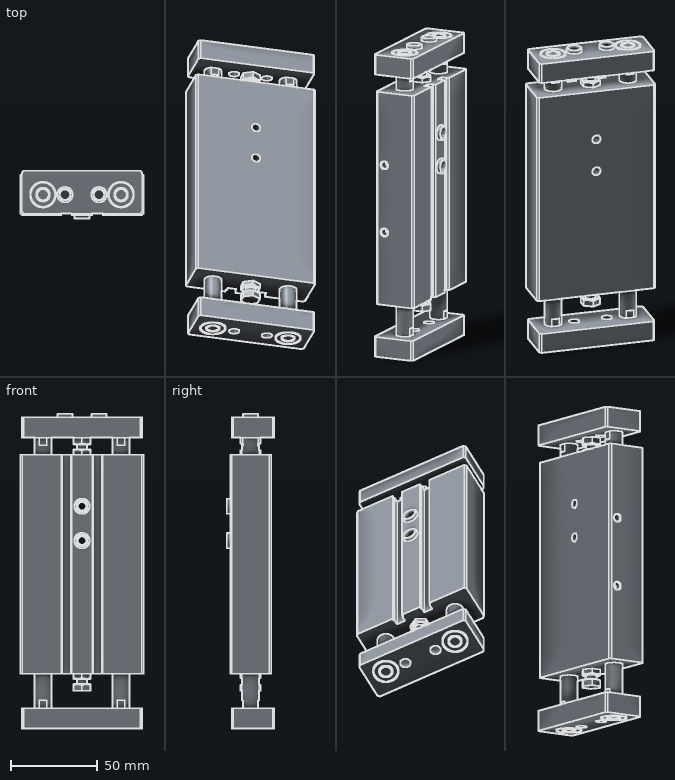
import cadquery as cq
import math

total_height = 183.0
plate_thickness = 11.9
lower_gap = 20.0
upper_gap = 9.9
sleeve_projection = 2.0

upper_plate_top = total_height - sleeve_projection
upper_plate_bottom = upper_plate_top - plate_thickness
housing_bottom = plate_thickness + lower_gap
housing_top = upper_plate_bottom - upper_gap
housing_height = housing_top - housing_bottom

housing_width = 72.0
housing_depth = 24.0
housing_back = 12.0
housing_front = housing_back - housing_depth
corner_chamfer = 1.1

slot_offset = 9.0
slot_mouth_width = 6.0
slot_mouth_depth = 1.6
slot_inner_width = 5.1
slot_depth = 4.5

plate_width = 69.9
plate_depth = 24.9
plate_back = 13.9

rod_offset = 22.7
rod_diameter = 10.0
rod_flat_width = 9.0
rod_flat_length = 4.5
piston_diameter = 20.0
piston_length = 20.0
nut_recess_diameter = 15.0
ring_nut_diameter = 14.0
nut_groove_depth = 0.7
rod_end_diameter = 8.0
rod_end_chamfer = 0.7

sleeve_diameter = 9.0
sleeve_bore = 6.8
sleeve_embedded = sleeve_projection
sleeve_length = sleeve_projection + sleeve_embedded
plate_hole_diameter = 6.0
housing_hole_diameter = 5.0
plate_sleeve_offset = 9.9
housing_sleeve_heights = (109.3, 129.2)

port_y = 6.8
lower_port_height = 75.4
upper_port_height = 115.7
port_mouth_diameter = 5.0
port_diameter = 4.2
port_depth = 6.2
port_tip_angle = 120.0

hex_width = 10.0
hex_chamfer_diameter = 9.2
bolt_diameter = 6.0
bolt_head_height = 4.0
lock_nut_height = 3.1
bolt_embedded = 11.0


def cylinder(diameter, bottom, height, x=0.0, y=0.0):
    """Upright cylinder standing on the given height."""
    return cq.Workplane("XY", origin=(x, y, bottom)).circle(diameter / 2).extrude(height)


def upright_block(width, depth, back, bottom, height):
    """Block centred on X, with chamfered vertical edges."""
    block = cq.Workplane("XY", origin=(0, back - depth / 2, bottom)).rect(width, depth).extrude(height)
    return block.edges("|Z").chamfer(corner_chamfer)


def mirrored_in_z(shape, height):
    return shape.mirror("XY", (0, 0, height))


def make_sleeve():
    """Sleeve along +Z from the origin, with a fully rounded rim at its outer end."""
    outer_radius = sleeve_diameter / 2
    bore_radius = sleeve_bore / 2
    rim_radius = (outer_radius - bore_radius) / 2
    return (
        cq.Workplane("XZ")
        .moveTo(bore_radius, 0)
        .lineTo(outer_radius, 0)
        .lineTo(outer_radius, sleeve_length - rim_radius)
        .threePointArc((bore_radius + rim_radius, sleeve_length), (bore_radius, sleeve_length - rim_radius))
        .close()
        .revolve(360, (0, 0, 0), (0, 1, 0))
    )


def plate_sleeve(x):
    return make_sleeve().translate((x, 0, upper_plate_top - sleeve_embedded))


def housing_sleeve(height):
    facing_front = make_sleeve().rotate((0, 0, 0), (1, 0, 0), 90)
    return facing_front.translate((0, housing_front + sleeve_embedded, height))


def nut_grooves(x):
    """Gap round a recessed ring nut and V-groove round the rod end, in the upper plate."""
    ring = (
        cq.Workplane("XY", origin=(x, 0, upper_plate_top - nut_groove_depth))
        .circle(nut_recess_diameter / 2)
        .circle(ring_nut_diameter / 2)
        .extrude(nut_groove_depth)
    )
    rod_end_radius = rod_end_diameter / 2
    v_groove = (
        cq.Workplane("XZ", origin=(x, 0, upper_plate_top))
        .moveTo(rod_end_radius, 0)
        .lineTo(rod_end_radius, -rod_end_chamfer)
        .lineTo(rod_end_radius - rod_end_chamfer, 0)
        .close()
        .revolve(360, (0, 0, 0), (0, 1, 0))
    )
    return ring.union(v_groove)


def make_rod(x):
    """Guide rod with spanner flats at both ends and a piston level with the lower port."""
    rod_length = upper_plate_bottom - plate_thickness
    rod = cylinder(rod_diameter, plate_thickness, rod_length, x)
    for flat_bottom in (plate_thickness, upper_plate_bottom - rod_flat_length):
        for side in (-1, 1):
            beyond_flat = cq.Workplane("XY", origin=(x, side * rod_flat_width, flat_bottom))
            rod = rod.cut(beyond_flat.rect(rod_diameter, rod_flat_width).extrude(rod_flat_length))
    return rod.union(make_piston(x))


def make_piston(x):
    return cylinder(piston_diameter, lower_port_height - piston_length / 2, piston_length, x)


def make_lower_plate():
    plate = upright_block(plate_width, plate_depth, plate_back, 0, plate_thickness)
    for x in (-plate_sleeve_offset, plate_sleeve_offset):
        plate = plate.cut(cylinder(plate_hole_diameter, 0, plate_thickness, x))
    for x in (-rod_offset, rod_offset):
        plate = plate.cut(mirrored_in_z(nut_grooves(x), upper_plate_top / 2))
    return plate


def make_upper_plate():
    plate = upright_block(plate_width, plate_depth, plate_back, upper_plate_bottom, plate_thickness)
    for x in (-plate_sleeve_offset, plate_sleeve_offset):
        plate = plate.cut(cylinder(sleeve_diameter, upper_plate_top - sleeve_embedded, sleeve_embedded, x))
        plate = plate.cut(cylinder(plate_hole_diameter, upper_plate_bottom, plate_thickness, x))
    for x in (-rod_offset, rod_offset):
        plate = plate.cut(nut_grooves(x))
    return plate


def make_moving_frame():
    frame = make_lower_plate().union(make_upper_plate())
    for x in (-rod_offset, rod_offset):
        frame = frame.union(make_rod(x))
    return frame


def sensor_slot(x):
    """Stepped slot along the full height of the front face, wider at its mouth."""
    front_line = cq.Workplane("XY", origin=(x, housing_front, housing_bottom))
    mouth = front_line.rect(slot_mouth_width, 2 * slot_mouth_depth).extrude(housing_height)
    inner = front_line.rect(slot_inner_width, 2 * slot_depth).extrude(housing_height)
    return mouth.union(inner)


def air_port(height):
    """Chamfered blind port with a conical bottom."""
    radius = port_diameter / 2
    mouth_radius = port_mouth_diameter / 2
    tip_length = radius / math.tan(math.radians(port_tip_angle / 2))
    return (
        cq.Workplane("XY", origin=(-housing_width / 2, port_y, height))
        .lineTo(0, mouth_radius)
        .lineTo(mouth_radius - radius, radius)
        .lineTo(port_depth, radius)
        .lineTo(port_depth + tip_length, 0)
        .close()
        .revolve(360, (0, 0, 0), (1, 0, 0))
    )


def make_housing():
    housing = upright_block(housing_width, housing_depth, housing_back, housing_bottom, housing_height)
    for x in (-slot_offset, slot_offset):
        housing = housing.cut(sensor_slot(x))
    for x in (-rod_offset, rod_offset):
        housing = housing.cut(cylinder(rod_diameter, housing_bottom, housing_height, x))
        housing = housing.cut(make_piston(x))
    for height in housing_sleeve_heights:
        seat = cq.Workplane("XZ", origin=(0, housing_front, height))
        housing = housing.cut(seat.circle(sleeve_diameter / 2).extrude(-sleeve_embedded))
        housing = housing.cut(seat.circle(housing_hole_diameter / 2).extrude(-housing_depth))
    for height in (lower_port_height, upper_port_height):
        housing = housing.cut(air_port(height))
    for bottom in (housing_bottom, housing_top - bolt_embedded):
        housing = housing.cut(cylinder(bolt_diameter, bottom, bolt_embedded))
    return housing


def hexagon(bottom, height, chamfered_face):
    """Hexagon with flats facing +X and -X and its corners turned down at one face."""
    corner_diameter = hex_width / math.cos(math.pi / 6)
    corner_cut = (corner_diameter - hex_chamfer_diameter) / 2
    drop = corner_cut * math.tan(math.pi / 6)
    prism = cq.Workplane("XY", origin=(0, 0, bottom)).polygon(6, corner_diameter).extrude(height)
    prism = prism.rotate((0, 0, 0), (0, 0, 1), 30)
    envelope = cylinder(corner_diameter, bottom, height).faces(chamfered_face).chamfer(drop, corner_cut)
    return prism.intersect(envelope)


def upper_stop_bolt():
    head_bottom = upper_plate_bottom - bolt_head_height
    shank_bottom = housing_top - bolt_embedded
    shank = cylinder(bolt_diameter, shank_bottom, head_bottom - shank_bottom)
    return hexagon(head_bottom, bolt_head_height, "<Z").union(shank)


def upper_lock_nut():
    nut = hexagon(housing_top, lock_nut_height, ">Z")
    return nut.cut(cylinder(bolt_diameter, housing_top, lock_nut_height))


housing_middle = (housing_bottom + housing_top) / 2
housing = make_housing()
moving_frame = make_moving_frame()
plate_sleeves = [plate_sleeve(x) for x in (-plate_sleeve_offset, plate_sleeve_offset)]
housing_sleeves = [housing_sleeve(height) for height in housing_sleeve_heights]
stop_bolts = [upper_stop_bolt(), mirrored_in_z(upper_stop_bolt(), housing_middle)]
lock_nuts = [upper_lock_nut(), mirrored_in_z(upper_lock_nut(), housing_middle)]

bodies = [housing, moving_frame, *plate_sleeves, *housing_sleeves, *stop_bolts, *lock_nuts]
result = cq.Compound.makeCompound([body.val() for body in bodies])